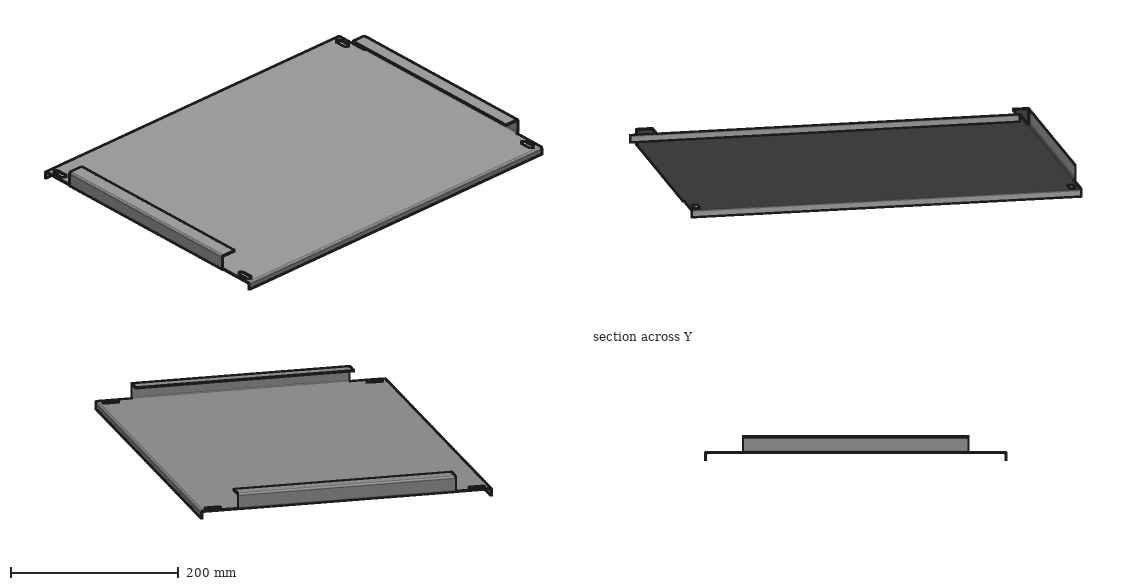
import cadquery as cq

overall_width = 360.0
overall_length = 480.0
overall_height = 28.5
sheet = 1.5
outer_radius = 2.5
inner_radius = outer_radius - sheet

channel_width = 270.0
channel_height = 20.0
lip_length = 20.0

slot_length = 20.0
slot_width = 7.0
slot_edge_x = 17.0
slot_edge_y = 11.0

half_width = overall_width / 2
half_length = overall_length / 2
plate_length = overall_length - 2 * outer_radius
flange_bottom = channel_height - overall_height


def bent_plate():
    """Flat plate with both long sides bent down."""
    full = cq.Workplane("XY").box(
        overall_width, plate_length, sheet - flange_bottom, centered=(True, True, False)
    ).edges("|Y and >Z").fillet(outer_radius)
    inside = cq.Workplane("XY").box(
        overall_width - 2 * sheet, plate_length, -flange_bottom, centered=(True, True, False)
    ).edges("|Y and >Z").fillet(inner_radius)
    return full.cut(inside).translate((0, 0, flange_bottom))


def front_channel():
    """End bent up and then back over the plate."""
    outer_y = -half_length
    inner_y = outer_y + sheet
    bend_y = outer_y + outer_radius
    lip_y = outer_y + lip_length
    lip_underside = channel_height - sheet
    upper_bend_z = channel_height - outer_radius
    profile = (
        cq.Workplane("YZ", origin=(-channel_width / 2, 0, 0))
        .moveTo(bend_y, 0)
        .radiusArc((outer_y, outer_radius), outer_radius)
        .lineTo(outer_y, upper_bend_z)
        .radiusArc((bend_y, channel_height), outer_radius)
        .lineTo(lip_y, channel_height)
        .lineTo(lip_y, lip_underside)
        .lineTo(bend_y, lip_underside)
        .radiusArc((inner_y, upper_bend_z), -inner_radius)
        .lineTo(inner_y, outer_radius)
        .radiusArc((bend_y, sheet), -inner_radius)
        .close()
    )
    return profile.extrude(channel_width)


def corner_slots():
    """Cutters for the mounting slot in each corner."""
    return (
        cq.Workplane("XY")
        .rect(2 * (half_width - slot_edge_x), 2 * (half_length - slot_edge_y), forConstruction=True)
        .vertices()
        .slot2D(slot_length, slot_width)
        .extrude(sheet)
    )


channel = front_channel()
result = (
    bent_plate()
    .union(channel)
    .union(channel.mirror("XZ"))
    .cut(corner_slots())
)